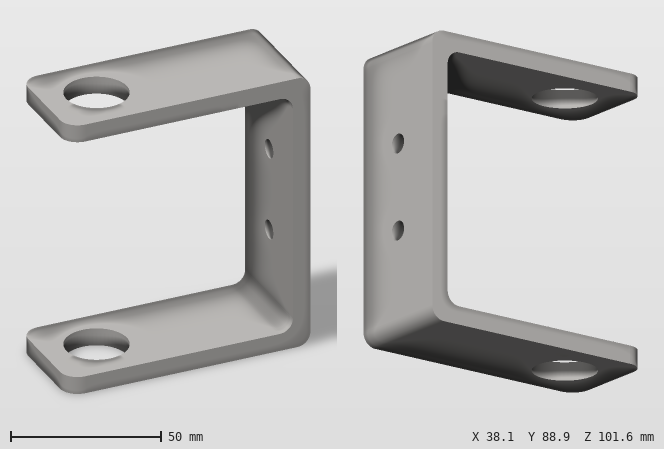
import cadquery as cq

width = 38.1
depth = 88.9
height = 101.6
thickness = 6.4
bend_radius = 4.8
corner_radius = 6.4

arm_hole_diameter = 22.1
arm_hole_to_tip = 19.2
web_hole_diameter = 6.8
web_hole_spacing = 30.5

tip_y = -depth / 2
back_y = depth / 2


def make_channel():
    """U-shaped body with both bends rounded inside and outside."""
    outer = cq.Workplane("XY").box(width, depth, height)
    outer = outer.edges("|X and >Y").fillet(bend_radius)
    inner = (
        cq.Workplane("XY")
        .box(width, depth, height - 2 * thickness)
        .edges("|X and >Y")
        .fillet(bend_radius)
        .translate((0, -thickness, 0))
    )
    return outer.cut(inner)


def make_arm_bore():
    """Vertical cutter passing through both arms."""
    return (
        cq.Workplane("XY", origin=(0, tip_y + arm_hole_to_tip, -height / 2))
        .circle(arm_hole_diameter / 2)
        .extrude(height)
    )


def make_web_holes():
    """Pair of cutters through the web, centred on its height."""
    return (
        cq.Workplane("XZ", origin=(0, back_y, 0))
        .rarray(1, web_hole_spacing, 1, 2)
        .circle(web_hole_diameter / 2)
        .extrude(2 * thickness)
    )


channel = make_channel().edges("|Z and <Y").fillet(corner_radius)
result = channel.cut(make_arm_bore()).cut(make_web_holes())